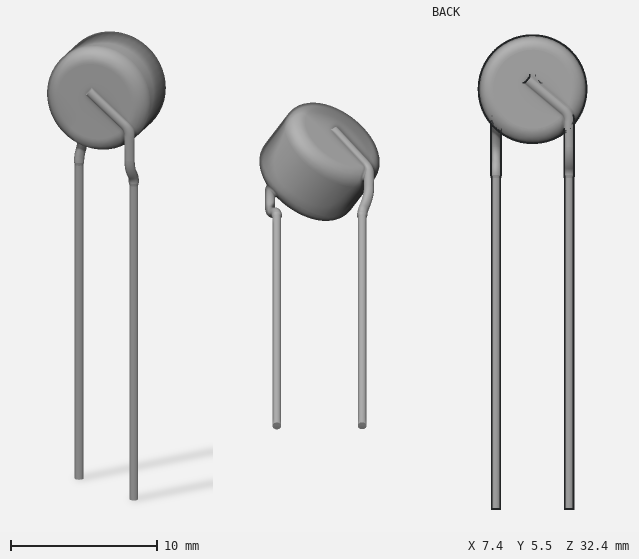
import cadquery as cq
import math

body_diameter = 7.4
body_thickness = 5.1
body_edge_radius = 1.0

overall_depth = 5.5
overall_height = 32.4
coated_diameter = 0.7
wire_diameter = 0.6
lead_spacing_x = 5.0
lead_spacing_y = 3.0

diagonal_angle = 50.0
diagonal_end_x = -0.35
diagonal_bend_radius = 1.0
diagonal_bend_bottom_z = -2.2

offset_top_z = -3.95
offset_upper_radius = 1.6
offset_lower_radius = 0.9
taper_length = 0.2

seam_radius = 0.1
contact_tolerance = 0.001

lead_x = lead_spacing_x / 2
face_y = -(overall_depth - coated_diameter) / 2
wire_y = -lead_spacing_y / 2
wire_bottom_z = body_diameter / 2 - overall_height


def make_body():
    back_plane = cq.Workplane("XZ", origin=(0, body_thickness / 2, 0))
    body = back_plane.circle(body_diameter / 2).extrude(body_thickness)
    return body.edges().fillet(body_edge_radius)


def coated_path():
    """Centre line of the coated lead, from its end on the body face down to where its coating thins."""
    turn = math.radians(diagonal_angle)

    def face_arc_point(angle):
        x = lead_x - diagonal_bend_radius * (1 - math.cos(angle))
        z = diagonal_bend_bottom_z + diagonal_bend_radius * math.sin(angle)
        return cq.Vector(x, face_y, z)

    bend_start = face_arc_point(turn)
    diagonal_rise = (bend_start.x - diagonal_end_x) / math.tan(turn)
    diagonal_end = cq.Vector(diagonal_end_x, face_y, bend_start.z + diagonal_rise)
    bend_bottom = face_arc_point(0)

    offset_turn = math.acos(1 - (wire_y - face_y) / (offset_upper_radius + offset_lower_radius))
    offset_drop = (offset_upper_radius + offset_lower_radius) * math.sin(offset_turn)
    offset_bottom_z = offset_top_z - offset_drop

    def upper_arc_point(angle):
        y = face_y + offset_upper_radius * (1 - math.cos(angle))
        return cq.Vector(lead_x, y, offset_top_z - offset_upper_radius * math.sin(angle))

    def lower_arc_point(angle):
        y = wire_y - offset_lower_radius * (1 - math.cos(angle))
        return cq.Vector(lead_x, y, offset_bottom_z + offset_lower_radius * math.sin(angle))

    offset_top = upper_arc_point(0)
    offset_middle = upper_arc_point(offset_turn)
    offset_bottom = lower_arc_point(0)

    return cq.Wire.assembleEdges([
        cq.Edge.makeLine(diagonal_end, bend_start),
        cq.Edge.makeThreePointArc(bend_start, face_arc_point(turn / 2), bend_bottom),
        cq.Edge.makeLine(bend_bottom, offset_top),
        cq.Edge.makeThreePointArc(offset_top, upper_arc_point(offset_turn / 2), offset_middle),
        cq.Edge.makeThreePointArc(offset_middle, lower_arc_point(offset_turn / 2), offset_bottom),
    ])


def make_lead():
    path = coated_path()
    start_plane = cq.Plane(origin=path.startPoint(), normal=path.tangentAt(0))
    coated = cq.Workplane(start_plane).circle(coated_diameter / 2).sweep(cq.Workplane(path))

    coating_bottom = path.endPoint()
    taper_bottom_z = coating_bottom.z - taper_length
    taper = (
        cq.Workplane("XY", origin=coating_bottom.toTuple())
        .circle(coated_diameter / 2)
        .workplane(offset=-taper_length)
        .circle(wire_diameter / 2)
        .loft(ruled=True)
    )
    wire = (
        cq.Workplane("XY", origin=(lead_x, wire_y, wire_bottom_z))
        .circle(wire_diameter / 2)
        .extrude(taper_bottom_z - wire_bottom_z)
    )
    return coated.union(taper).union(wire)


def touches_skin(edge, solid):
    """True if the middle of the edge lies on the outer faces of the solid."""
    middle = edge.positionAt(0.5)
    vertex = cq.Vertex.makeVertex(middle.x, middle.y, middle.z)
    return solid.Shells()[0].distance(vertex) < contact_tolerance


def join_lead(part, body, lead):
    """Unite a lead with the part and round the seam where the lead meets the body."""
    joined = part.union(lead)
    seam = joined.edges().filter(
        lambda edge: touches_skin(edge, body.val()) and touches_skin(edge, lead.val())
    )
    return seam.fillet(seam_radius)


disc = make_body()
front_lead = make_lead()
back_lead = front_lead.rotate((0, 0, 0), (0, 0, 1), 180)

result = join_lead(disc, disc, front_lead)
result = join_lead(result, disc, back_lead)